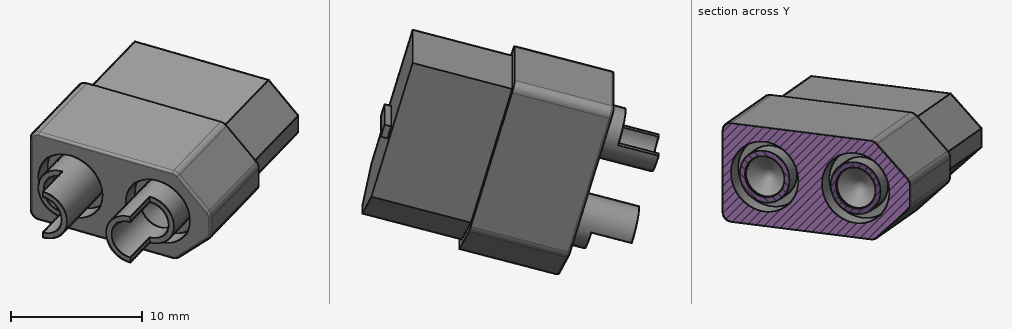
import cadquery as cq
import math


collar_length = 7.85
plug_length = 7.85
plug_height = 6.42
plug_left = -6.5
plug_right = 7.51
bevel_start = 4.97
nose_flat_height = 1.5
collar_margin = 0.75
front_edge_radius = 0.2

tab_width = 1.04
tab_height = 3.95
tab_length = 0.52

contact_spacing = 7.5
contact_diameter = 4.15
recess_diameter = 5.5
recess_depth = 1.5
contact_seat_depth = 4.15
cup_diameter = 3.2
cup_projection = 4.5
shoulder_projection = 1.3
cup_floor_depth = 0.3
cone_angle = 118.0
cone_depth = cup_diameter / 2 / math.tan(math.radians(cone_angle / 2))

housing_length = collar_length + plug_length


def rod(x, y_start, length, diameter):
    """Cylinder along +Y."""
    axis_start = cq.Vector(x, y_start, 0)
    return cq.Workplane(cq.Solid.makeCylinder(diameter / 2, length, axis_start, cq.Vector(0, 1, 0)))


def plug_outline():
    """Rectangle with a bevelled nose on the +X side."""
    return cq.Workplane("XZ").polyline([
        (plug_left, -plug_height / 2),
        (bevel_start, -plug_height / 2),
        (plug_right, -nose_flat_height / 2),
        (plug_right, nose_flat_height / 2),
        (bevel_start, plug_height / 2),
        (plug_left, plug_height / 2),
    ]).close()


def make_housing(contact_positions):
    plug = plug_outline().extrude(-housing_length)
    collar = plug_outline().offset2D(collar_margin, "arc").extrude(-collar_length)
    collar = collar.faces("<Y").edges().fillet(front_edge_radius)
    tab = cq.Workplane("XY").box(tab_width, tab_length, tab_height, centered=(True, False, True))
    body = collar.union(plug).union(tab.translate((0, housing_length, 0)))
    for x in contact_positions:
        body = body.cut(rod(x, 0, recess_depth, recess_diameter))
        body = body.cut(rod(x, 0, contact_seat_depth, contact_diameter))
    return body


def make_contact(x):
    """Round contact with a solder cup whose tip is open on the outward side."""
    contact = rod(x, -cup_projection, cup_projection + contact_seat_depth, contact_diameter)
    contact = contact.cut(rod(x, -cup_projection, cup_projection + cup_floor_depth, cup_diameter))
    floor_rim = cq.Vector(x, cup_floor_depth, 0)
    cone = cq.Solid.makeCone(cup_diameter / 2, 0, cone_depth, floor_rim, cq.Vector(0, 1, 0))
    contact = contact.cut(cq.Workplane(cone))

    outward = 1 if x > 0 else -1
    opening_length = cup_projection - shoulder_projection
    opening = cq.Workplane("XY").box(contact_diameter, opening_length, contact_diameter)
    opening_x = x + outward * contact_diameter / 2
    opening_y = -(cup_projection + shoulder_projection) / 2
    return contact.cut(opening.translate((opening_x, opening_y, 0)))


contact_positions = [-contact_spacing / 2, contact_spacing / 2]
housing = make_housing(contact_positions)
contacts = [make_contact(x) for x in contact_positions]

result = cq.Compound.makeCompound([housing.val(), *[contact.val() for contact in contacts]])